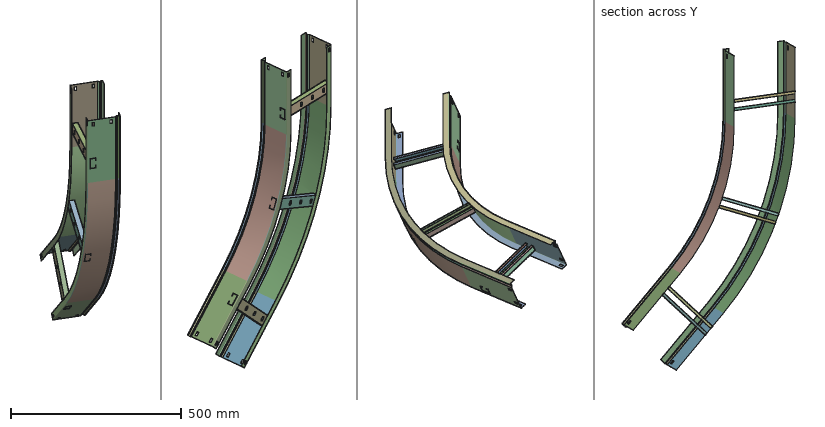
import cadquery as cq
import math

BEND_ANGLE = 45.0
LADDER_WIDTH = 200.0
OUTER_RADIUS = 800.0
INNER_RADIUS = OUTER_RADIUS - LADDER_WIDTH
STRAIGHT = 217.9

RAIL_DEPTH = 100.0
FLANGE = 20.0
SHEET = 1.0
BEND_RADIUS = 1.5
GROOVE_CENTRE = RAIL_DEPTH - 9.5
GROOVE_FLOOR = 3.0
GROOVE_MOUTH = 11.0
GROOVE_DEPTH = 4.0

SLOT_LENGTH = 12.0
SLOT_WIDTH = 6.0
SLOT_FROM_END = 14.5
WEB_SLOT_DEPTHS = (17.0, 71.5)
FLANGE_SLOT_INSET = 9.0
SLOT_CUTTER = 4 * SHEET

RUNG_HEIGHT = 35.0
RUNG_DEPTH = 17.5
RUNG_FRONT = 7.5
RUNG_LIP = 9.0
RUNG_FROM_END = 151.0
RUNG_OFFSET = STRAIGHT - RUNG_FROM_END
MIDDLE_RUNG_ANGLE = 22.0
RUNG_SLOT_LENGTH = 13.5
RUNG_SLOT_WIDTH = 8.0
RUNG_SLOT_COUNT = 4
RUNG_SLOT_PITCH = LADDER_WIDTH / RUNG_SLOT_COUNT


def groove_face(inset):
    """Points through the groove along one face of the web, `inset` in from the web's outer face."""
    slope = math.atan2(GROOVE_DEPTH, (GROOVE_MOUTH - GROOVE_FLOOR) / 2)
    shift = inset * math.tan(slope / 2)
    mouth = GROOVE_MOUTH / 2 + shift
    floor = GROOVE_FLOOR / 2 + shift
    return [
        (inset, GROOVE_CENTRE - mouth),
        (inset + GROOVE_DEPTH, GROOVE_CENTRE - floor),
        (inset + GROOVE_DEPTH, GROOVE_CENTRE + floor),
        (inset, GROOVE_CENTRE + mouth),
    ]


def rail_section(web_x, inward):
    """Rail section on the XY plane: web outer face at web_x, flanges toward `inward` (+1 or -1)."""
    def place(point):
        return (web_x + inward * point[0], point[1])

    inner_bend = BEND_RADIUS - SHEET
    diagonal = 1 - math.sqrt(0.5)
    outer_mid = BEND_RADIUS * diagonal
    inner_mid = SHEET + inner_bend * diagonal
    back = RAIL_DEPTH
    section = cq.Workplane("XY").moveTo(*place((FLANGE, 0))).lineTo(*place((BEND_RADIUS, 0)))
    section = section.threePointArc(place((outer_mid, outer_mid)), place((0, BEND_RADIUS)))
    for point in groove_face(0):
        section = section.lineTo(*place(point))
    section = section.lineTo(*place((0, back - BEND_RADIUS)))
    section = section.threePointArc(place((outer_mid, back - outer_mid)), place((BEND_RADIUS, back)))
    section = section.lineTo(*place((FLANGE, back))).lineTo(*place((FLANGE, back - SHEET)))
    section = section.lineTo(*place((BEND_RADIUS, back - SHEET)))
    section = section.threePointArc(place((inner_mid, back - inner_mid)), place((SHEET, back - BEND_RADIUS)))
    for point in reversed(groove_face(SHEET)):
        section = section.lineTo(*place(point))
    section = section.lineTo(*place((SHEET, BEND_RADIUS)))
    section = section.threePointArc(place((inner_mid, inner_mid)), place((BEND_RADIUS, SHEET)))
    return section.lineTo(*place((FLANGE, SHEET))).close()


def turn_round_bend(shape, angle):
    """Turn a shape about the bend axis, from the start of the bend toward its far end."""
    return shape.rotate((0, 0, 0), (0, 1, 0), angle)


def end_slots(web_x, inward, end_z):
    """Cutters for the web and front flange slots near the rail end at height end_z."""
    slot_z = end_z - math.copysign(SLOT_FROM_END, end_z)
    cutters = cq.Workplane("XY")
    for depth in WEB_SLOT_DEPTHS:
        slot = cq.Workplane("XY").box(SLOT_CUTTER, SLOT_WIDTH, SLOT_LENGTH)
        cutters = cutters.add(slot.translate((web_x, depth, slot_z)))
    slot = cq.Workplane("XY").box(SLOT_WIDTH, SLOT_CUTTER, SLOT_LENGTH)
    return cutters.add(slot.translate((web_x + inward * FLANGE_SLOT_INSET, 0, slot_z)))


def make_rail(web_x, inward):
    """One side rail: a straight, the bend and a second straight, slotted at both ends."""
    start = rail_section(web_x, inward).extrude(STRAIGHT)
    bend = rail_section(web_x, inward).revolve(BEND_ANGLE, (0, 0), (0, 1))
    end = turn_round_bend(rail_section(web_x, inward).extrude(-STRAIGHT), BEND_ANGLE)
    rail = start.union(bend).union(end)
    for slot in end_slots(web_x, inward, STRAIGHT).vals():
        rail = rail.cut(cq.Workplane(slot))
    for slot in end_slots(web_x, inward, -STRAIGHT).vals():
        rail = rail.cut(turn_round_bend(cq.Workplane(slot), BEND_ANGLE))
    return rail


def make_rung(end_inset):
    """Rung across the ladder at Z = 0, its ends set in from the outer faces of the webs."""
    length = LADDER_WIDTH - 2 * end_inset
    middle_x = (INNER_RADIUS + OUTER_RADIUS) / 2
    middle_y = RUNG_FRONT + RUNG_DEPTH / 2
    body = cq.Workplane("XY").box(length, RUNG_DEPTH, RUNG_HEIGHT)
    body = body.cut(cq.Workplane("XY").box(length, RUNG_DEPTH - 2 * SHEET, RUNG_HEIGHT - 2 * SHEET))
    mouth = cq.Workplane("XY").box(length, RUNG_DEPTH, RUNG_HEIGHT - 2 * RUNG_LIP)
    body = body.cut(mouth.translate((0, RUNG_DEPTH / 2, 0)))
    slots = (
        cq.Workplane("XZ")
        .rarray(RUNG_SLOT_PITCH, 1, RUNG_SLOT_COUNT, 1)
        .slot2D(RUNG_SLOT_LENGTH, RUNG_SLOT_WIDTH, 90)
        .extrude(RUNG_DEPTH)
    )
    return body.cut(slots).translate((middle_x, middle_y, 0))


inner_rail = make_rail(INNER_RADIUS, 1)
outer_rail = make_rail(OUTER_RADIUS, -1)

RUNG_PLACES = (
    (0, RUNG_OFFSET, 0),
    (SHEET, 0, MIDDLE_RUNG_ANGLE),
    (0, -RUNG_OFFSET, BEND_ANGLE),
)
rungs = []
for end_inset, height, angle in RUNG_PLACES:
    rung = turn_round_bend(make_rung(end_inset).translate((0, 0, height)), angle)
    inner_rail = inner_rail.cut(rung)
    outer_rail = outer_rail.cut(rung)
    rungs.append(rung)

result = cq.Compound.makeCompound(
    [inner_rail.val(), outer_rail.val()] + [rung.val() for rung in rungs]
)